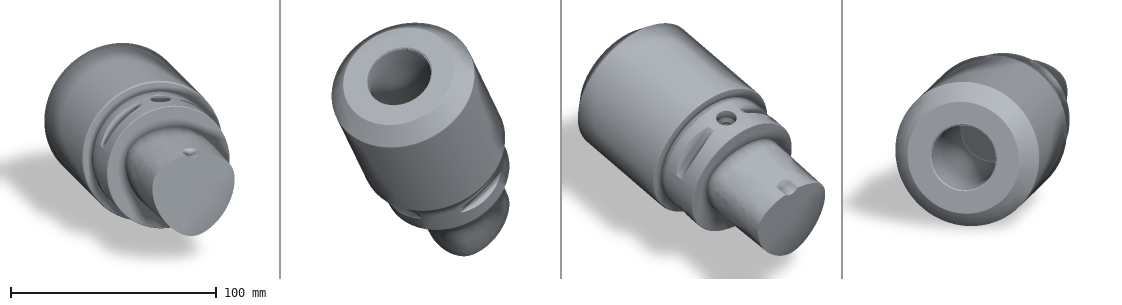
import cadquery as cq
import math

body_diameter = 72.0
body_length = 66.0
nose_diameter = 56.0
nose_taper_length = 8.0
nose_edge_fillet = 0.5
body_edge_fillet = 0.8

neck_diameter = 62.4
neck_length = 2.0
neck_edge_chamfer = 0.4
flange_diameter = 63.0
flange_length = 22.0
flange_edge_chamfer = (flange_diameter - neck_diameter) / 2

bore_diameter = 32.0
bore_depth = 60.0
bore_mouth_diameter = 32.5
bore_mouth_depth = 1.0
bore_mouth_chamfer = 0.5
bore_floor_fillet = 0.5

shank_length = 38.0
shank_base_radius = 22.05
shank_taper = 1 / 20
lobe_height = 1.4
shank_curve_points = 60

keyway_radius = 5.0
keyway_depth = 2.1
keyway_length = 6.3
keyway_dome_radius = 6.0

slot_count = 4
first_slot_angle = 45.0
slot_distance = 28.0
slot_floor_width = 3.6
slot_flank_angle = 33.0
slot_floor_fillet = 0.5

hole_diameter = 10.0
hole_depth = 5.0
hole_chamfer = 0.3
hole_floor_fillet = 0.3
pilot_diameter = 4.0
pilot_depth = 1.0
pilot_tip_angle = 120.0

flange_start = -flange_length
neck_start = flange_start - neck_length
nose_face = neck_start - body_length
gripper_station = -12.0


def cylinder(diameter, start, length):
    return cq.Workplane("YZ", origin=(start, 0, 0)).circle(diameter / 2).extrude(length)


def pointed_cone(base, direction, radius, height):
    cone = cq.Solid.makeCone(radius, 0, height, cq.Vector(*base), cq.Vector(*direction))
    return cq.Workplane(obj=cone)


def make_body():
    body = cylinder(body_diameter, nose_face, body_length)
    nose_step = (body_diameter - nose_diameter) / 2
    body = body.faces("<X").chamfer(nose_taper_length, nose_step)
    body = body.faces("<X").edges().fillet(nose_edge_fillet)
    rim_point = (nose_face + nose_taper_length, 0, body_diameter / 2)
    body = body.edges("%CIRCLE").edges(cq.selectors.NearestToPointSelector(rim_point)).fillet(nose_edge_fillet)
    return body.faces(">X").edges().fillet(body_edge_fillet)


def make_flange():
    neck = cylinder(neck_diameter, neck_start, neck_length)
    flange = cylinder(flange_diameter, flange_start, flange_length)
    neck = neck.faces("<X").edges().chamfer(neck_edge_chamfer)
    flange = flange.edges().chamfer(flange_edge_chamfer)
    return neck.union(flange)


def make_bore():
    rim_radius = bore_mouth_diameter / 2 + bore_mouth_chamfer
    bore = cylinder(bore_diameter, nose_face, bore_depth)
    bore = bore.faces(">X").edges().fillet(bore_floor_fillet)
    mouth = cylinder(bore_mouth_diameter, nose_face, bore_mouth_depth)
    chamfer = pointed_cone((nose_face, 0, 0), (1, 0, 0), rim_radius, rim_radius)
    return bore.union(mouth).union(chamfer)


def shank_section(x):
    """Closed three-lobed curve whose tangents lie at radius + lobe_height * cos(3 * angle)."""
    radius = shank_base_radius - x * shank_taper / 2

    def point(t):
        angle = 2 * math.pi * t
        reach = radius + lobe_height * math.cos(3 * angle)
        slide = -3 * lobe_height * math.sin(3 * angle)
        along_lobe = reach * math.cos(angle) - slide * math.sin(angle)
        across_lobe = reach * math.sin(angle) + slide * math.cos(angle)
        return cq.Vector(x, across_lobe, -along_lobe)

    edge = cq.Edge.makeSpline([point(i / shank_curve_points) for i in range(shank_curve_points)], periodic=True)
    return cq.Wire.assembleEdges([edge])


def make_shank():
    sections = [shank_section(0), shank_section(shank_length)]
    return cq.Workplane(obj=cq.Solid.makeLoft(sections, True))


def make_keyway():
    flat_height = shank_base_radius - shank_length * shank_taper / 2 - lobe_height
    axis_height = flat_height - keyway_depth + keyway_radius
    end = shank_length - keyway_length
    dome_center = end + math.sqrt(keyway_dome_radius**2 - keyway_radius**2)
    half_dome_angle = math.asin(keyway_radius / keyway_dome_radius) / 2
    arc_middle = (
        dome_center - keyway_dome_radius * math.cos(half_dome_angle),
        keyway_dome_radius * math.sin(half_dome_angle),
    )
    cutter = (
        cq.Workplane("XZ")
        .moveTo(shank_length, 0)
        .lineTo(shank_length, keyway_radius)
        .lineTo(end, keyway_radius)
        .threePointArc(arc_middle, (dome_center - keyway_dome_radius, 0))
        .close()
        .revolve(360, (0, 0, 0), (1, 0, 0))
    )
    return cutter.translate((0, 0, axis_height))


def make_gripper_slot(angle):
    height = flange_diameter / 2 - slot_distance
    half_floor = slot_floor_width / 2
    half_top = half_floor + height * math.tan(math.radians(slot_flank_angle))
    top = slot_distance + height
    slot = (
        cq.Workplane("XZ")
        .polyline([
            (gripper_station - half_floor, slot_distance),
            (gripper_station + half_floor, slot_distance),
            (gripper_station + half_top, top),
            (gripper_station - half_top, top),
        ])
        .close()
        .extrude(flange_diameter / 2, both=True)
        .faces("<Z")
        .edges("|Y")
        .fillet(slot_floor_fillet)
    )
    return slot.rotate((0, 0, 0), (1, 0, 0), angle)


def make_locating_hole():
    top = flange_diameter / 2
    floor = top - hole_depth
    axis = cq.Workplane("XY", origin=(gripper_station, 0, 0))
    hole = axis.workplane(offset=floor).circle(hole_diameter / 2).extrude(hole_depth)
    hole = hole.faces("<Z").edges().fillet(hole_floor_fillet)
    rim_radius = hole_diameter / 2 + hole_chamfer
    rim = pointed_cone((gripper_station, 0, top), (0, 0, -1), rim_radius, rim_radius)
    pilot = axis.workplane(offset=floor - pilot_depth).circle(pilot_diameter / 2).extrude(pilot_depth)
    tip_length = pilot_diameter / 2 / math.tan(math.radians(pilot_tip_angle / 2))
    tip = pointed_cone((gripper_station, 0, floor - pilot_depth), (0, 0, -1), pilot_diameter / 2, tip_length)
    return hole.union(rim).union(pilot).union(tip)


result = make_body().union(make_flange()).union(make_shank())
result = result.cut(make_bore()).cut(make_keyway()).cut(make_locating_hole())
for index in range(slot_count):
    result = result.cut(make_gripper_slot(first_slot_angle + index * 360 / slot_count))